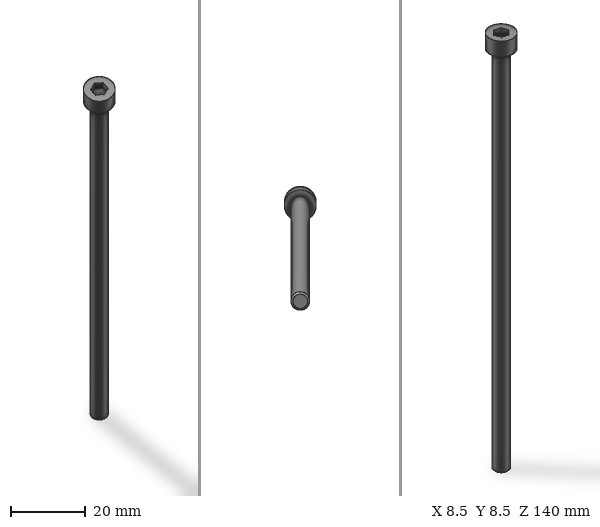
import cadquery as cq
import math

total_length = 140.0
head_diameter = 8.5
head_height = 5.0
shank_diameter = 5.0
tip_chamfer = 0.5
socket_across_flats = 4.0
socket_depth = 2.5

shank_length = total_length - head_height
socket_across_corners = socket_across_flats / math.cos(math.pi / 6)


def make_head():
    return cq.Workplane("XY").circle(head_diameter / 2).extrude(head_height)


def make_shank():
    shank = cq.Workplane("XY").circle(shank_diameter / 2).extrude(-shank_length)
    return shank.faces("<Z").chamfer(tip_chamfer)


def make_socket():
    return (
        cq.Workplane("XY")
        .workplane(offset=head_height)
        .polygon(6, socket_across_corners)
        .extrude(-socket_depth)
    )


result = make_head().union(make_shank()).cut(make_socket())